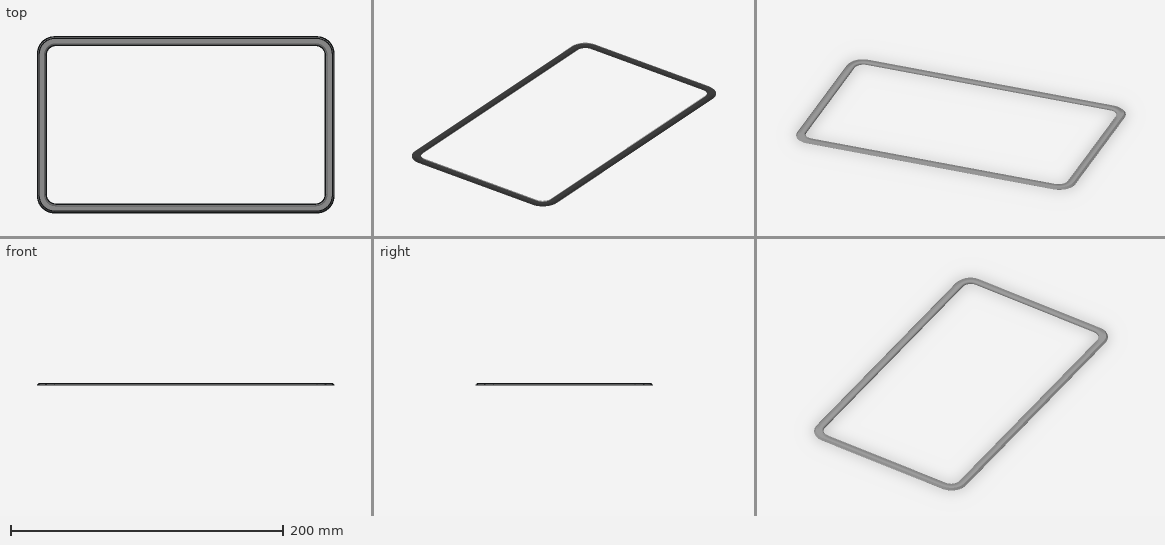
import cadquery as cq

length = 218.0
width = 129.5
height = 1.4
band = 6.5
outer_radius = 12.6
inner_radius = 7.0
bevel = 1.3
rim_rounding = 1.3


def rounded_slab(size_x, size_y, corner_radius):
    """Rounded rectangular plate resting on the XY plane."""
    return (
        cq.Workplane("XY")
        .rect(size_x, size_y)
        .extrude(height)
        .edges("|Z")
        .fillet(corner_radius)
    )


plate = rounded_slab(length, width, outer_radius).faces(">Z").edges().chamfer(bevel)

opening = rounded_slab(length - 2 * band, width - 2 * band, inner_radius)
frame = plate.cut(opening)

opening_rim = frame.faces(">Z").val().innerWires()[0]
result = frame.newObject(opening_rim.Edges()).fillet(rim_rounding)